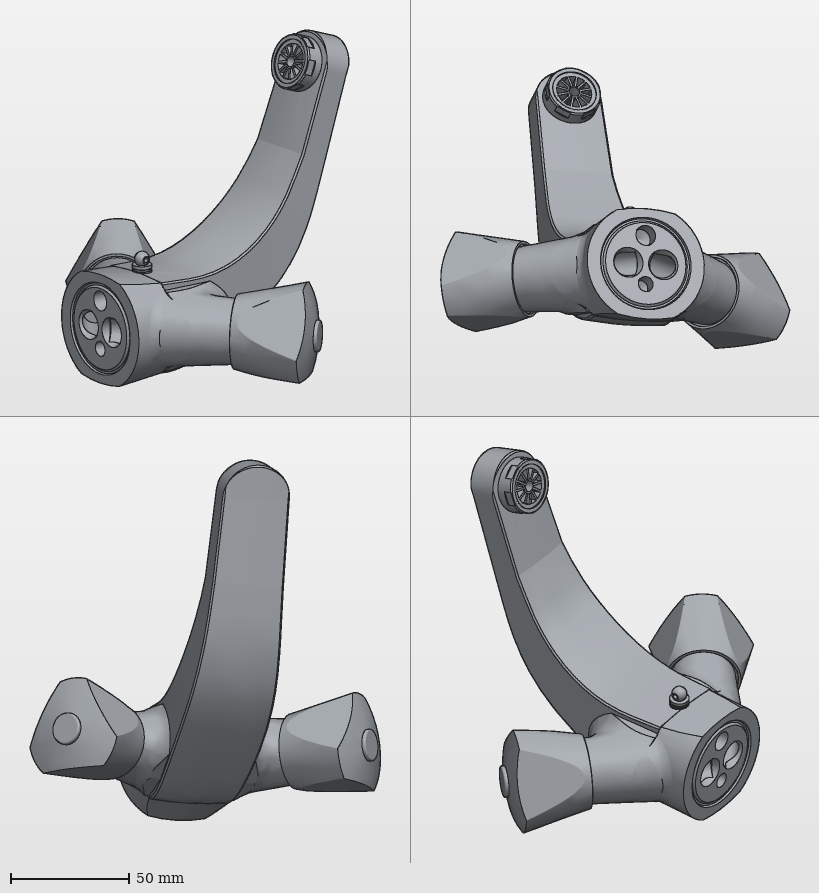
import cadquery as cq
import math


base_radius = 25.9
base_length = 19.7
groove_outer_radius = 20.0
groove_floor_outer_radius = 19.5
groove_floor_inner_radius = 18.6
groove_inner_radius = 17.7
groove_depth = 1.0
drill_half_angle = 59.0

inlet_x = 7.7
inlet_radius = 5.1
inlet_mouth_radius = 6.5
inlet_mouth_depth = 3.1
inlet_bore_setback = 3.7
inlet_bore_length = 21.5
upper_hole_z = 12.2
upper_hole_radius = 4.3
lower_hole_z = -9.0
lower_hole_radius = 3.2
screw_hole_depth = 7.7

base_sections = [
    ((0.0, 23.9), (0.0, -24.0), 6.5),
    ((base_length, 21.3), (base_length, -20.3), 3.1),
]

bend_sections = [
    ((base_length, 21.3), (base_length, -20.3), 17.5),
    ((35.9, 20.5), (40.0, -16.8), 18.3),
    ((58.5, 24.5), (67.8, -2.6), 19.1),
    ((75.2, 34.2), (86.7, 11.7), 18.5),
    ((88.1, 47.7), (101.4, 31.9), 17.0),
    ((97.0, 62.2), (111.5, 56.5), 15.5),
]
spout_crown = 1.0
spout_bevel = 0.8

tip_tilt = 20.0
tip_radius = 14.6
tip_centre_y = 110.0
tip_centre_z = 96.1
tip_thickness = 14.5
nozzle_radius = 11.9
nozzle_length = 7.1
nozzle_chamfer = 0.6
nozzle_bore_radius = 9.5
nozzle_bore_depth = 0.6
hub_hole_radius = 2.3
slot_outer_radius = 7.7
slot_inner_radius = 3.1
slot_count = 12
rib_width = 1.0
slot_depth = 7.0
grip_count = 6
grip_width = 6.5
grip_height = 3.7
grip_depth = 0.6
grip_rim = 0.3

arm_angle = 40.0
arm_origin_y = 8.3
arm_root_radius = 18.0
arm_root_distance = 3.1
arm_end_radius = 13.7
arm_end_distance = 55.1
handle_start = 52.0
handle_start_radius = 16.0
handle_rim_distance = 82.0
handle_rim_radius = 22.72
handle_flat_distance = 16.71
handle_dome_radius = 56.2
handle_edge_fillet = 0.5
handle_groove_inner = 13.4
handle_groove_outer = 15.0
handle_groove_depth = 1.5
button_radius = 6.8
button_height = 1.2

spout_blend = 9.2
base_blend = 6.2
blend_margin = 18.5
blend_length = 123.2
blend_core_half_width = 17.9
blend_inner_x = 15.4
blend_top = 17.0
blend_clearance = 2.3

post_y = 22.8
post_disc_radius = 4.2
post_disc_bottom = 19.7
post_disc_top = 24.2
post_groove_z = 21.7
post_groove_width = 1.0
post_groove_depth = 0.5
post_ball_z = 26.5
post_ball_radius = 3.2
post_ball_width = 5.5
post_hole_radius = 1.1


arm_direction = cq.Vector(math.cos(math.radians(arm_angle)), math.sin(math.radians(arm_angle)), 0)


def crowned_section(upper, lower, half_width, crown, bevel):
    """Closed wire across the body with its top and bottom bulged by `crown`."""
    height = math.hypot(upper[0] - lower[0], upper[1] - lower[1])
    rise = ((upper[0] - lower[0]) / height, (upper[1] - lower[1]) / height)

    def point(x, along):
        return cq.Vector(x, lower[0] + rise[0] * along, lower[1] + rise[1] * along)

    side = [
        (half_width - bevel, crown),
        (half_width, crown + bevel),
        (half_width, height - crown - bevel),
        (half_width - bevel, height - crown),
    ]
    right = [point(x, along) for x, along in side]
    left = [point(-x, along) for x, along in side]
    edges = [
        cq.Edge.makeThreePointArc(left[0], point(0, 0), right[0]),
        cq.Edge.makeThreePointArc(right[-1], point(0, height), left[-1]),
    ]
    for corners in (right, left):
        edges += [cq.Edge.makeLine(start, stop) for start, stop in zip(corners, corners[1:])]
    return cq.Wire.assembleEdges(edges)


def loft(wires, ruled=False):
    return cq.Workplane(cq.Solid.makeLoft(wires, ruled))


def place_on_arm(shape):
    """Move a shape built along +X from the world origin onto the right arm."""
    return shape.rotate((0, 0, 0), (0, 0, 1), arm_angle).translate((0, arm_origin_y, 0))


def make_arm():
    profile = cq.Workplane("XY").polyline([
        (arm_root_distance, 0),
        (arm_root_distance, -arm_root_radius),
        (arm_end_distance, -arm_end_radius),
        (arm_end_distance, 0),
    ]).close()
    return place_on_arm(profile.revolve(360, (0, 0, 0), (1, 0, 0)))


def make_arm_tube():
    """The right arm, limited to +X and to the +Y side of the mounting face."""
    return make_arm().intersect(cq.Workplane("XY").box(154, 154, 154).translate((77, 77, 0)))


def blend_with_arm(core, radius):
    """Join the right arm to a core whose own edges are all lines or circles."""
    return core.union(make_arm(), clean=False).edges("%BSPLINE or %ELLIPSE").fillet(radius)


def make_base():
    """Base cylinder blended into the right arm, trimmed to the crowned profile."""
    cylinder = (
        cq.Workplane("XZ", origin=(0, -blend_margin, 0)).circle(base_radius)
        .extrude(-blend_length)
    )
    wires = [
        crowned_section(up, low, base_radius + 1.5, crown, spout_bevel)
        for up, low, crown in base_sections
    ]
    return blend_with_arm(cylinder, base_blend).intersect(loft(wires))


def drilled_hole(x, z, radius, depth):
    """Blind hole from the mounting face with a conical bottom."""
    cone_height = radius / math.tan(math.radians(drill_half_angle))
    profile = (
        cq.Workplane("XY")
        .polyline([(0, 0), (radius, 0), (radius, depth), (0, depth + cone_height)])
        .close()
    )
    return profile.revolve(360, (0, 0, 0), (0, 1, 0)).translate((x, 0, z))


def make_inlet():
    """Cutters for the right inlet: a conical mouth and a bore that runs parallel to the arm."""
    mouth = cq.Solid.makeCone(
        inlet_mouth_radius, inlet_radius, inlet_mouth_depth,
        cq.Vector(inlet_x, 0, 0), cq.Vector(0, 1, 0),
    )
    mouth_floor = cq.Vector(inlet_x, inlet_mouth_depth, 0)
    bore_start = mouth_floor - arm_direction * inlet_bore_setback
    bore = cq.Solid.makeCylinder(inlet_radius, inlet_bore_length, bore_start, arm_direction)
    return [cq.Workplane(mouth), cq.Workplane(bore)]


def make_base_cuts():
    inlet = make_inlet()
    groove = (
        cq.Workplane("XY")
        .polyline([
            (groove_outer_radius, 0),
            (groove_floor_outer_radius, groove_depth),
            (groove_floor_inner_radius, groove_depth),
            (groove_inner_radius, 0),
        ])
        .close().revolve(360, (0, 0, 0), (0, 1, 0))
    )
    return [
        groove,
        *inlet,
        *[cutter.mirror("YZ") for cutter in inlet],
        drilled_hole(0, upper_hole_z, upper_hole_radius, screw_hole_depth),
        drilled_hole(0, lower_hole_z, lower_hole_radius, screw_hole_depth),
    ]


tilt = math.radians(tip_tilt)
along_tip = cq.Vector(0, math.sin(tilt), math.cos(tilt))
nozzle_direction = cq.Vector(0, -math.cos(tilt), math.sin(tilt))
tip_centre = cq.Vector(0, tip_centre_y, tip_centre_z)
tip_plane = cq.Plane(origin=tip_centre, xDir=(1, 0, 0), normal=nozzle_direction)


def make_spout():
    bend = loft([
        crowned_section(up, low, half_width, spout_crown, spout_bevel)
        for up, low, half_width in bend_sections
    ])

    end_upper, end_lower, end_half_width = bend_sections[-1]
    tip_back = tip_centre - nozzle_direction * tip_thickness
    tip_section = crowned_section(
        (tip_centre.y, tip_centre.z), (tip_back.y, tip_back.z), tip_radius, spout_crown, spout_bevel
    )
    end_section = crowned_section(end_upper, end_lower, end_half_width, spout_crown, spout_bevel)
    straight = loft([end_section, tip_section], ruled=True)

    tip = cq.Workplane(cq.Solid.extrudeLinear(tip_section, [], along_tip * (tip_radius + 1.5)))
    round_end = (
        cq.Workplane(tip_plane).circle(tip_radius).extrude(-tip_thickness)
        .edges().chamfer(spout_bevel)
    )
    return bend.union(straight).union(tip.intersect(round_end))


def make_spout_blend():
    """Concave blend between the right arm and the spout side, kept between the spout faces."""
    core = (
        cq.Workplane("XY").box(2 * blend_core_half_width, blend_length, blend_length)
        .translate((0, blend_length / 2 - blend_margin, 0))
    )
    lower_edge = [(y, z + blend_clearance) for _, (y, z), _ in bend_sections[:3]]
    last_y = lower_edge[-1][0]
    beside_spout = (
        cq.Workplane("YZ", origin=(blend_inner_x, 0, 0))
        .polyline([(base_length, blend_top), *lower_edge, (last_y, blend_top)])
        .close().extrude(blend_length)
    )
    return blend_with_arm(core, spout_blend).intersect(beside_spout)


def make_nozzle():
    nozzle = (
        cq.Workplane(tip_plane).workplane(offset=-3.1).circle(nozzle_radius)
        .extrude(nozzle_length + 3.1).faces(cq.DirectionMinMaxSelector(nozzle_direction, True))
        .chamfer(nozzle_chamfer)
    )
    face = cq.Workplane(tip_plane).workplane(offset=nozzle_length)
    nozzle = nozzle.cut(face.circle(nozzle_bore_radius).extrude(-nozzle_bore_depth))

    opening_depth = nozzle_bore_depth + slot_depth
    ribs = (
        face.polarArray((slot_outer_radius + slot_inner_radius) / 2, 180 / slot_count, 360, slot_count)
        .rect(slot_outer_radius, rib_width).extrude(-opening_depth)
    )
    slots = face.circle(slot_outer_radius).circle(slot_inner_radius).extrude(-opening_depth).cut(ribs)
    hub_hole = face.circle(hub_hole_radius).extrude(-opening_depth)
    grips = (
        face.workplane(offset=-grip_rim).polarArray(nozzle_radius, 0, 360, grip_count)
        .rect(2 * grip_depth, grip_width).extrude(-grip_height)
    )
    return nozzle.cut(slots).cut(hub_hole).cut(grips)


def make_handle():
    sag = handle_dome_radius - math.sqrt(handle_dome_radius**2 - handle_rim_radius**2)
    apex = handle_rim_distance + sag
    knob = (
        cq.Workplane("XY").moveTo(handle_start, 0)
        .lineTo(handle_start, handle_start_radius)
        .lineTo(handle_rim_distance, handle_rim_radius)
        .radiusArc((apex, 0), handle_dome_radius)
        .close().revolve(360, (0, 0, 0), (1, 0, 0))
    )

    for angle in (0, 120, 240):
        flat = cq.Workplane("XY").box(92.4, 92.4, 30.8).translate((69.3, 0, -handle_flat_distance - 15.4))
        knob = knob.cut(flat.rotate((0, 0, 0), (1, 0, 0), angle))

    knob = knob.edges("%HYPERBOLA").fillet(handle_edge_fillet)

    groove = (
        cq.Workplane("YZ", origin=(handle_start, 0, 0)).circle(handle_groove_outer)
        .circle(handle_groove_inner).extrude(handle_groove_depth)
    )
    button = (
        cq.Workplane("YZ", origin=(apex - 3.1, 0, 0)).circle(button_radius)
        .extrude(3.1 + button_height).faces(">X").edges().fillet(0.8)
    )
    return place_on_arm(knob.cut(groove).union(button))


def make_post():
    disc = (
        cq.Workplane("XY", origin=(0, post_y, post_disc_bottom)).circle(post_disc_radius)
        .extrude(post_disc_top - post_disc_bottom)
    )
    groove = (
        cq.Workplane("XY", origin=(0, post_y, post_groove_z)).circle(post_disc_radius + 1.5)
        .circle(post_disc_radius - post_groove_depth).extrude(post_groove_width)
    )
    ball = cq.Workplane("XY").sphere(post_ball_radius)
    ball = ball.intersect(cq.Workplane("XY").box(post_ball_width, 15.4, 15.4))
    ball = ball.translate((0, post_y, post_ball_z))
    hole = (
        cq.Workplane("YZ", origin=(0, post_y, post_ball_z)).circle(post_hole_radius)
        .extrude(post_ball_radius * 2, both=True)
    )
    return disc.cut(groove).union(ball).cut(hole)


half = make_base().union(make_spout_blend()).union(make_arm_tube()).union(make_handle())
body = make_spout().union(half).union(half.mirror("YZ"))
body = body.union(make_nozzle()).union(make_post())
for cut in make_base_cuts():
    body = body.cut(cut)
result = body